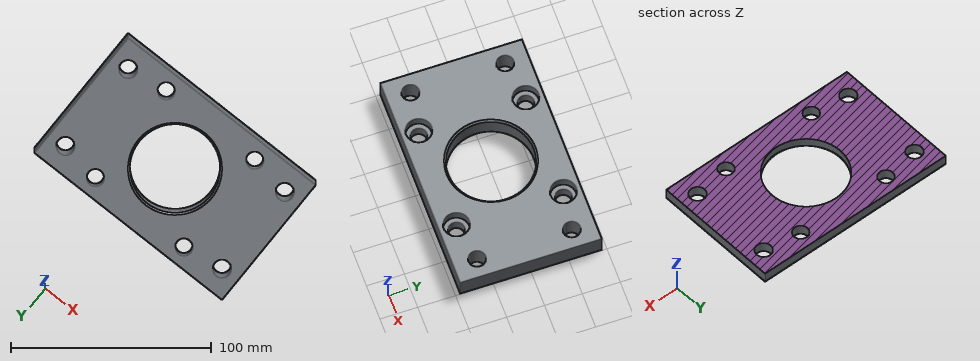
import cadquery as cq

length = 120.0
width = 75.0
thickness = 12.0
edge_radius = 0.2

bore_diameter = 45.0
bore_chamfer = 1.0

corner_hole_diameter = 9.0
corner_pitch_x = 100.0
corner_pitch_y = 50.0

screw_hole_diameter = 8.5
counterbore_diameter = 13.5
counterbore_depth = 5.5
screw_pitch = 56.5

top_face = thickness / 2
counterbore_floor = top_face - counterbore_depth


def circles_at(body, diameter, height):
    """Select the circular edges of one diameter lying at one height."""
    tolerance = edge_radius / 2
    return body.edges("%CIRCLE").filter(
        lambda edge: abs(edge.radius() - diameter / 2) < tolerance
        and abs(edge.Center().z - height) < tolerance
    )


plate = cq.Workplane("XY").box(length, width, thickness)

corner_drilled = (
    plate.faces(">Z").workplane(origin=(0, 0, 0))
    .rarray(corner_pitch_x, corner_pitch_y, 2, 2)
    .hole(corner_hole_diameter)
)

screw_drilled = (
    corner_drilled.faces(">Z").workplane(origin=(0, 0, 0))
    .rarray(screw_pitch, screw_pitch, 2, 2)
    .cboreHole(screw_hole_diameter, counterbore_diameter, counterbore_depth)
)

rounded_plate = screw_drilled.faces("<X or >X or <Z or >Z").edges().fillet(edge_radius)
shank_rims = circles_at(rounded_plate, screw_hole_diameter, counterbore_floor)
rounded_holes = shank_rims.fillet(edge_radius)

bored_plate = rounded_holes.faces(">Z").workplane(origin=(0, 0, 0)).hole(bore_diameter)
top_chamfered = circles_at(bored_plate, bore_diameter, top_face).chamfer(bore_chamfer)
result = circles_at(top_chamfered, bore_diameter, -top_face).chamfer(bore_chamfer)